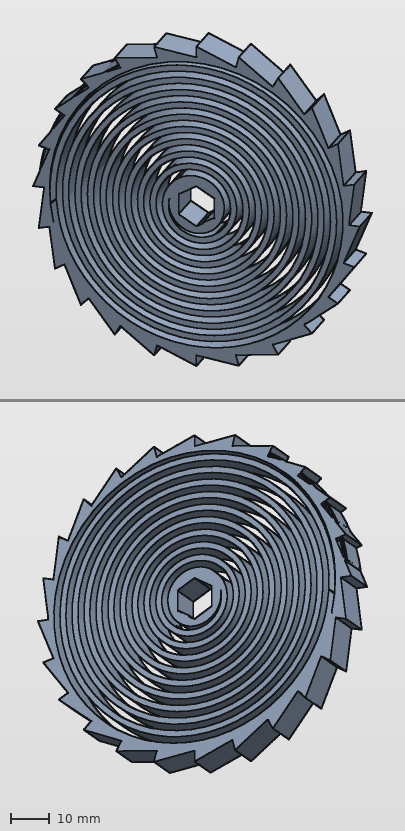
import cadquery as cq
import math

WIDTH = 10.0
BACK_FACE_Y = WIDTH / 2

TOOTH_COUNT = 24
TOOTH_STEP = 360 / TOOTH_COUNT
TIP_RADIUS = 44.5
ROOT_RADIUS = 41.5
RING_INNER_RADIUS = 40.0

HUB_RADIUS = 7.5
HEX_SIDES = 6
HEX_ACROSS_FLATS = 9.65
HEX_ACROSS_CORNERS = HEX_ACROSS_FLATS / math.cos(math.pi / HEX_SIDES)
HEX_SIDE = HEX_ACROSS_CORNERS / 2

LAND_HEIGHT = 0.2
LAND_LENGTH = 0.65 * HEX_SIDE
LAND_FLAT_ANGLE = -60.0
LAND_EMBEDDING = 0.5

SPRING_PITCH = 3.4
SPRING_THICKNESS = 1.67
SPRING_START_RADIUS = 6.15
SPRING_START_ANGLE = -60.0
SPRING_END_ANGLE = 10 * 360 + 14.0
SPRING_STRETCHES = 20
POINTS_PER_STRETCH = 8

WEB_START_ANGLE = 118.0
WEB_END_ANGLE = 174.0
WEB_START_RADIUS = 42.1
WEB_THICKNESS = 0.3
LIP_THICKNESS = 0.45
LIP_WIDTH = 1.35


def back_plane():
    """XZ sketch plane on the back face; extrusion runs toward -Y."""
    return cq.Workplane("XZ", origin=(0, BACK_FACE_Y, 0))


def polar(radius, degrees):
    angle = math.radians(degrees)
    return (radius * math.cos(angle), radius * math.sin(angle))


def ratchet_ring():
    """Saw-toothed ring: each tooth has a radial face and a sloping flank."""
    outline = []
    for tooth in range(TOOTH_COUNT):
        outline.append(polar(TIP_RADIUS, tooth * TOOTH_STEP))
        outline.append(polar(ROOT_RADIUS, tooth * TOOTH_STEP))
    teeth = back_plane().polyline(outline).close().extrude(WIDTH)
    bore = back_plane().circle(RING_INNER_RADIUS).extrude(WIDTH)
    return teeth.cut(bore)


def hub():
    body = back_plane().circle(HUB_RADIUS).extrude(WIDTH)
    half_side_angle = 180 / HEX_SIDES
    hexagon = (
        back_plane()
        .transformed(rotate=(0, 0, half_side_angle))
        .polygon(HEX_SIDES, HEX_ACROSS_CORNERS)
        .extrude(WIDTH)
    )
    return body.cut(hexagon).union(bore_land())


def bore_land():
    """Low strip on one flat, drawn with its normal along local x and the flat along local y."""
    land_depth = LAND_HEIGHT + LAND_EMBEDDING
    centre_x = HEX_ACROSS_FLATS / 2 - LAND_HEIGHT + land_depth / 2
    centre_y = (HEX_SIDE - LAND_LENGTH) / 2
    return (
        back_plane()
        .transformed(rotate=(0, 0, LAND_FLAT_ANGLE))
        .center(centre_x, centre_y)
        .rect(land_depth, LAND_LENGTH)
        .extrude(WIDTH)
    )


def spiral_strip(inner_radius, thickness, start_angle, end_angle, stretch_count, width):
    """Strip of even thickness whose radius grows by the spring pitch every turn.

    Each long edge is a chain of short splines, one per stretch.
    """
    stretch_angle = (end_angle - start_angle) / stretch_count

    def edge_points(base_radius, stretch):
        points = []
        for index in range(POINTS_PER_STRETCH + 1):
            wound = (stretch + index / POINTS_PER_STRETCH) * stretch_angle
            radius = base_radius + SPRING_PITCH * wound / 360
            points.append(polar(radius, start_angle + wound))
        return points

    outer_radius = inner_radius + thickness
    outline = back_plane().moveTo(*edge_points(outer_radius, 0)[0])
    for stretch in range(stretch_count):
        forward = edge_points(outer_radius, stretch)
        outline = outline.spline(forward[1:], includeCurrent=True)
    outline = outline.lineTo(*edge_points(inner_radius, stretch_count - 1)[-1])
    for stretch in reversed(range(stretch_count)):
        backward = edge_points(inner_radius, stretch)[::-1]
        outline = outline.spline(backward[1:], includeCurrent=True)
    return outline.close().extrude(width)


def spiral_spring():
    inner_radius = SPRING_START_RADIUS - SPRING_THICKNESS / 2
    return spiral_strip(
        inner_radius, SPRING_THICKNESS, SPRING_START_ANGLE, SPRING_END_ANGLE, SPRING_STRETCHES, WIDTH
    )


def tooth_gap_web():
    web = spiral_strip(WEB_START_RADIUS, WEB_THICKNESS, WEB_START_ANGLE, WEB_END_ANGLE, 1, WIDTH)
    lip = spiral_strip(WEB_START_RADIUS, LIP_THICKNESS, WEB_START_ANGLE, WEB_END_ANGLE, 1, LIP_WIDTH)
    return web.union(lip)


toothed_rim = ratchet_ring().union(tooth_gap_web())
result = toothed_rim.union(spiral_spring()).union(hub())